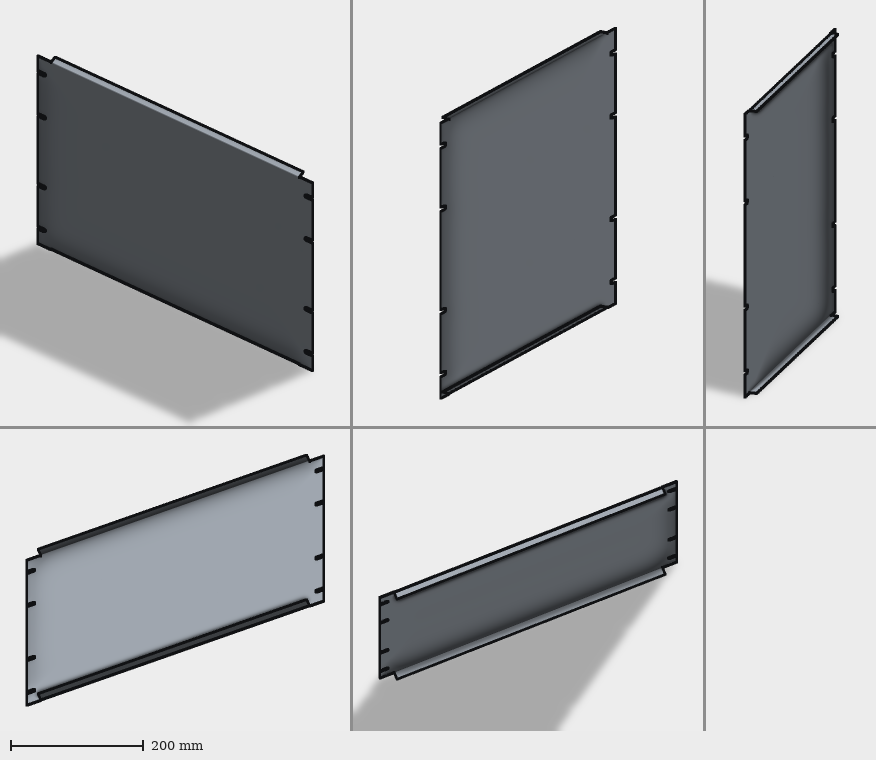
import cadquery as cq

width = 482.5
height = 443.5
depth = 12.5

thickness = 1.5
inner_bend_radius = 0.5
outer_bend_radius = inner_bend_radius + thickness

flange_setback = 23.0
flange_length = width - 2 * flange_setback

slot_width = 6.5
slot_depth = 13.5
outer_slot_height = 184.0
inner_slot_height = 82.5

front_y = -depth / 2


def make_panel():
    """Flat front panel, full width and height."""
    return cq.Workplane("XY").box(width, thickness, height).translate((0, front_y + thickness / 2, 0))


def make_folded_block(block_height, bend_radius, block_front):
    """Block as long as the flanges, with its two front edges rounded as bends."""
    block = cq.Workplane("XY").box(flange_length, depth, block_height)
    block = block.edges("|X and <Y").fillet(bend_radius)
    return block.translate((0, block_front - front_y, 0))


def make_channel():
    """Middle of the sheet with the top and bottom flanges folded back."""
    outside = make_folded_block(height, outer_bend_radius, front_y)
    inside = make_folded_block(height - 2 * thickness, inner_bend_radius, front_y + thickness)
    return outside.cut(inside)


def make_middle_cutter():
    """Block that removes the middle of the panel and leaves its two flat ends."""
    return cq.Workplane("XY").box(flange_length, 2 * depth, 2 * height)


def make_slots():
    """Cutters for the edge slots; each is centred on the panel edge."""
    points = [
        (side * width / 2, level * slot_height)
        for side in (-1, 1)
        for level in (-1, 1)
        for slot_height in (inner_slot_height, outer_slot_height)
    ]
    return cq.Workplane("XZ").pushPoints(points).slot2D(2 * slot_depth, slot_width).extrude(depth, both=True)


panel_ends = make_panel().cut(make_middle_cutter())
result = panel_ends.union(make_channel()).cut(make_slots())